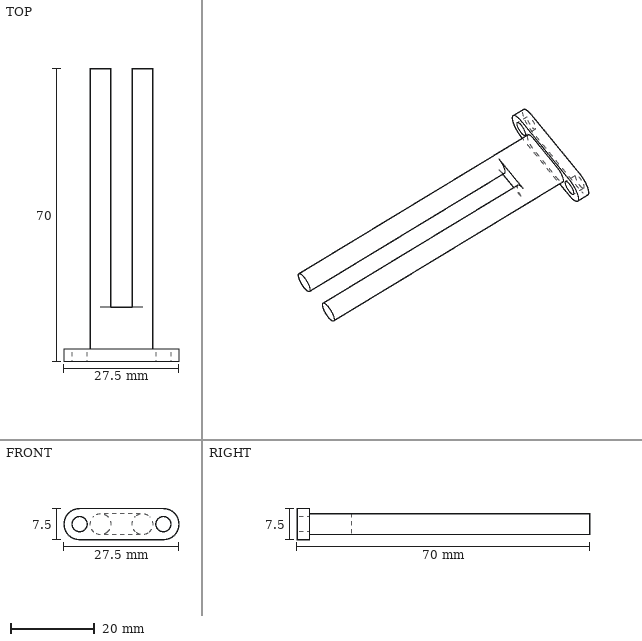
import cadquery as cq

total_length = 70.0
plate_width = 27.5
plate_height = 7.5
plate_thickness = 3.0

hole_diameter = 3.6
hole_spacing = plate_width - plate_height

rod_diameter = 5.0
rod_spacing = 10.0
web_length = 10.0


def make_plate():
    """Round-ended plate standing upright, with its outer face at Y = 0."""
    hole_centers = [(-hole_spacing / 2, 0), (hole_spacing / 2, 0)]
    plate = cq.Workplane("XZ").slot2D(plate_width, plate_height).extrude(-plate_thickness)
    holes = (
        cq.Workplane("XZ")
        .pushPoints(hole_centers)
        .circle(hole_diameter / 2)
        .extrude(-plate_thickness)
    )
    return plate.cut(holes)


def make_rod(x):
    """Round rod running from the back of the plate to the free end."""
    return (
        cq.Workplane("XZ", origin=(x, plate_thickness, 0))
        .circle(rod_diameter / 2)
        .extrude(plate_thickness - total_length)
    )


def make_web():
    """Block between the rod axes, flush with the top and bottom of the rods."""
    return (
        cq.Workplane("XZ", origin=(0, plate_thickness, 0))
        .rect(rod_spacing, rod_diameter)
        .extrude(-web_length)
    )


result = make_plate().union(make_web())
for side in (-1, 1):
    result = result.union(make_rod(side * rod_spacing / 2))